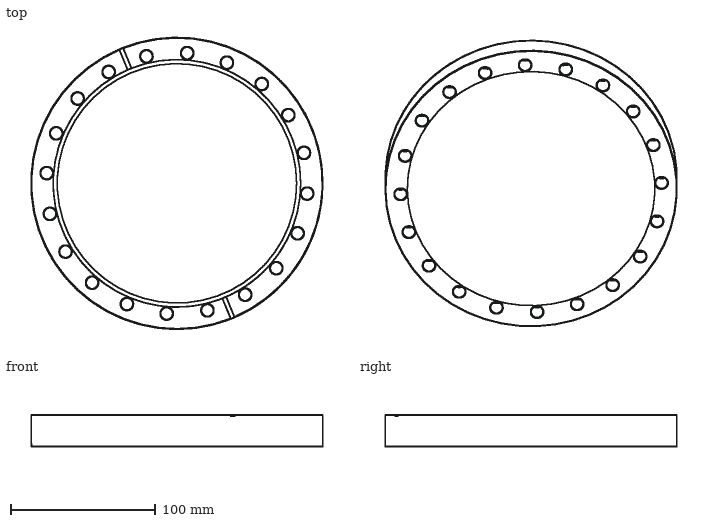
import cadquery as cq
import math

outer_diameter = 202.3
thickness = 22.3
rim_chamfer = 0.5

recess_diameter = 171.5
recess_depth = 1.6
knife_tip_diameter = 165.9
knife_slope = 20.0
centre_drop = 0.6

bolt_count = 20
bolt_circle_diameter = 181.0
bolt_hole_diameter = 8.3
bolt_hole_chamfer = 0.5
bolt_pitch = 360.0 / bolt_count

slot_angle = -67.5
slot_width = 2.8
slot_depth = 1.0

outer_radius = outer_diameter / 2
recess_radius = recess_diameter / 2
knife_tip_radius = knife_tip_diameter / 2
recess_floor = thickness - recess_depth
knife_rise = (recess_radius - knife_tip_radius) * math.tan(math.radians(knife_slope))
knife_tip_height = recess_floor + knife_rise
centre_height = knife_tip_height - centre_drop


def make_ring():
    """Outer bolt ring with a straight bore, bolt holes and leak-check slots."""
    ring = cq.Workplane("XY").circle(outer_radius).extrude(thickness)
    ring = ring.faces("<Z or >Z").edges().chamfer(rim_chamfer)
    ring = ring.cut(cq.Workplane("XY").circle(recess_radius).extrude(thickness))

    holes = (
        cq.Workplane("XY")
        .polarArray(bolt_circle_diameter / 2, slot_angle + bolt_pitch / 2, 360, bolt_count)
        .circle(bolt_hole_diameter / 2)
        .extrude(thickness)
    )
    ring = ring.cut(holes)
    hole_mouths = [
        edge
        for edge in ring.faces("<Z or >Z").edges("%CIRCLE").vals()
        if edge.radius() < bolt_hole_diameter
    ]
    ring = ring.newObject(hole_mouths).chamfer(bolt_hole_chamfer)

    slots = (
        cq.Workplane("XY", origin=(0, 0, thickness - slot_depth))
        .transformed(rotate=(0, 0, slot_angle))
        .rect(outer_diameter, slot_width)
        .extrude(slot_depth)
    )
    return ring.cut(slots)


def make_blank():
    """Centre disc with a knife edge that slopes outward down to the recess floor."""
    return (
        cq.Workplane("XZ")
        .lineTo(recess_radius, 0)
        .lineTo(recess_radius, recess_floor)
        .lineTo(knife_tip_radius, knife_tip_height)
        .lineTo(knife_tip_radius, centre_height)
        .lineTo(0, centre_height)
        .close()
        .revolve(360, (0, 0, 0), (0, 1, 0))
    )


ring = make_ring()
blank = make_blank()

result = cq.Compound.makeCompound([ring.val(), blank.val()])